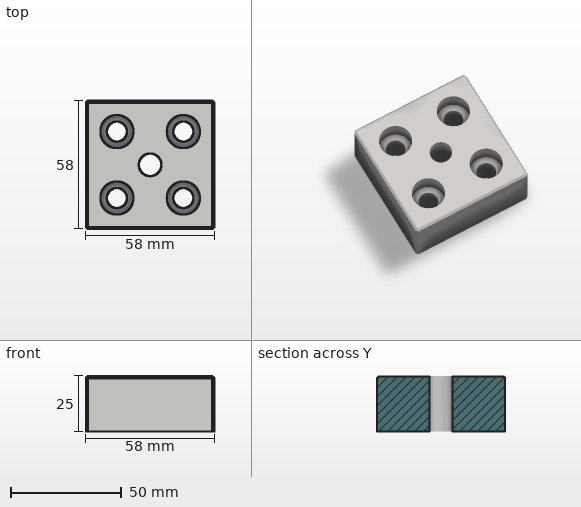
import cadquery as cq

side = 58.0
height = 25.0
edge_chamfer = 1.0

screw_spacing = 30.0
screw_hole_diameter = 9.0
counterbore_diameter = 15.0
counterbore_depth = 9.0

center_hole_diameter = 10.11


def make_block():
    """Block standing on Z = 0, chamfered on its upright and top edges."""
    block = cq.Workplane("XY").box(side, side, height, centered=(True, True, False))
    block = block.edges("|Z").chamfer(edge_chamfer)
    return block.faces(">Z").chamfer(edge_chamfer)


def cut_screw_holes(block):
    """Four through holes, counterbored from the top."""
    return (
        block.faces(">Z")
        .workplane(origin=(0, 0, height))
        .rarray(screw_spacing, screw_spacing, 2, 2)
        .cboreHole(screw_hole_diameter, counterbore_diameter, counterbore_depth)
    )


def cut_center_hole(block):
    """Plain through hole on the block's axis."""
    return block.faces(">Z").workplane(origin=(0, 0, height)).hole(center_hole_diameter)


result = cut_center_hole(cut_screw_holes(make_block()))